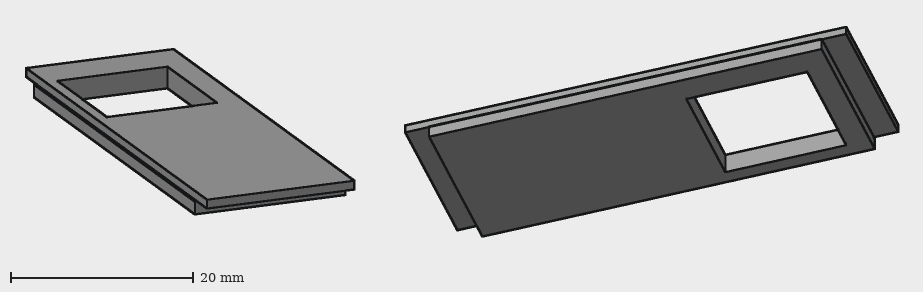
import cadquery as cq

plate_length = 51.2
plate_width = 17.55
plate_thickness = 1.0

slab_length = 45.55
slab_width = 17.9
slab_thickness = 1.5

plate_setback = 0.25

window_length = 14.05
window_width = 13.1
window_end_margin = 5.6
window_front_margin = 1.4

total_height = plate_thickness + slab_thickness
plate_front_y = -slab_width / 2 + plate_setback
plate_y = plate_front_y + plate_width / 2
window_x = -plate_length / 2 + window_end_margin + window_length / 2
window_y = plate_front_y + window_front_margin + window_width / 2


def block(length, width, height, center_x, center_y, base_z):
    """Box standing on base_z, centred on the given X and Y."""
    box = cq.Workplane("XY").box(length, width, height, centered=(True, True, False))
    return box.translate((center_x, center_y, base_z))


slab = block(slab_length, slab_width, slab_thickness, 0, 0, 0)
plate = block(plate_length, plate_width, plate_thickness, 0, plate_y, slab_thickness)
window = block(window_length, window_width, total_height, window_x, window_y, 0)

result = slab.union(plate).cut(window)